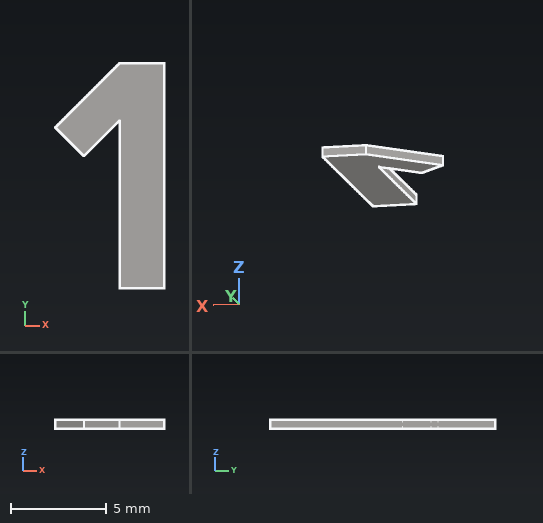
import cadquery as cq
import math

width = 5.74
height = 11.84
thickness = 0.5

stem_width = 2.36
flag_width = 2.13

flag_reach = width - stem_width
flag_end_leg = flag_width / math.sqrt(2)

right = width / 2
left = -width / 2
top = height / 2
bottom = -height / 2
stem_left = right - stem_width
flag_tip_y = top - flag_reach
inner_corner_y = top - 2 * flag_end_leg

outline = [
    (stem_left, bottom),
    (right, bottom),
    (right, top),
    (stem_left, top),
    (left, flag_tip_y),
    (left + flag_end_leg, flag_tip_y - flag_end_leg),
    (stem_left, inner_corner_y),
]

result = cq.Workplane("XY").polyline(outline).close().extrude(thickness)